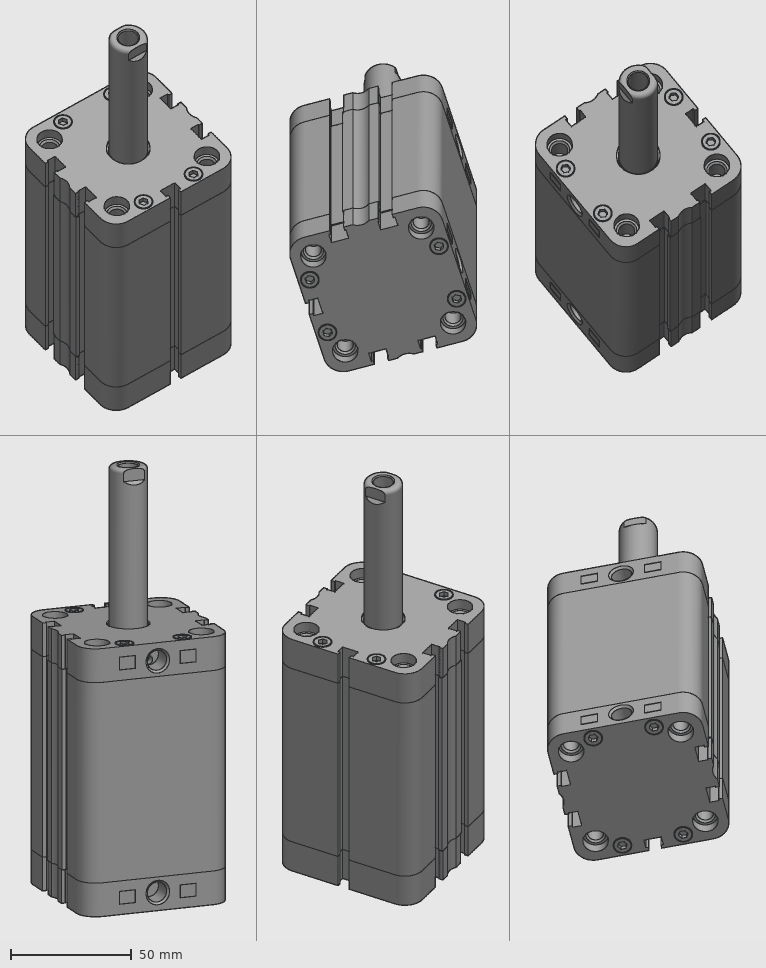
import cadquery as cq
import math

BODY_SIDE = 65.5
CORNER_RADIUS = 8.25
COVER_HEIGHT = 14.5
BARREL_LENGTH = 86.0
BODY_HEIGHT = 2 * COVER_HEIGHT + BARREL_LENGTH
HALF_SIDE = BODY_SIDE / 2

SLOT_OFFSET = 10.6
SLOT_OUTER_EDGE = 13.5
COVER_SLOT_INNER_EDGE = 7.4
BARREL_SLOT_INNER_EDGE = 7.9
SIDE_SLOT_OPENING = 5.3
SLOT_WIDTH = 7.4
SLOT_LIP = 1.7
COVER_SLOT_DEPTH = 5.6
BARREL_SLOT_DEPTH = 5.1

GROOVE_RADIUS = 6.0
GROOVE_DEPTH = 1.1

ROD_DIAMETER = 16.0
ROD_TOP = 183.0
ROD_TIP_RADIUS = 1.8
FLAT_WIDTH = 13.0
FLAT_LENGTH = 5.2
FLAT_RUNOUT = (ROD_DIAMETER - FLAT_WIDTH) / 2
ROD_THREAD_DIAMETER = 8.38
ROD_THREAD_DEPTH = 20.0
ROD_THREAD_MOUTH = 9.4
DRILL_POINT_ANGLE = 118.0

SEAL_STEPS = ((18.0, 1.0), (16.54, 2.0))

MOUNT_OFFSET = 23.25
MOUNT_BORE_DIAMETER = 10.5
MOUNT_BORE_DEPTH = 4.7
MOUNT_MOUTH_DIAMETER = 8.38
MOUNT_THREAD_DIAMETER = 6.65

SCREW_X = 27.85
SCREW_Y = 12.9
SCREW_RING_DIAMETER = 7.7
SCREW_HEAD_DIAMETER = 7.5
SCREW_HEAD_CHAMFER = 0.25
SOCKET_ACROSS_FLATS = 3.5
SOCKET_ACROSS_CORNERS = SOCKET_ACROSS_FLATS / math.cos(math.radians(30))
SOCKET_DEPTH = 2.0

PORT_DIAMETER = 8.57
PORT_MOUTH_DIAMETER = 10.5
PORT_DEPTH = 10.0
PORT_END_DISTANCE = 7.8
AIR_HOLE_DIAMETER = 3.5
AIR_HOLE_DROP = 2.2
AIR_HOLE_DEPTH = 4.0

LABEL_OFFSET = 13.5
LABEL_WIDTH = 7.0
LABEL_HEIGHT = 5.5
LABEL_DEPTH = 0.2


def t_slot(mouth_start, mouth_end, centre, depth, height):
    """T-slot cutter through the +Y face, its mouth running from mouth_start to mouth_end in X."""
    mouth = (
        cq.Workplane("XY")
        .center((mouth_start + mouth_end) / 2, 0)
        .rect(mouth_end - mouth_start, 2 * SLOT_LIP)
        .extrude(height)
    )
    inner_depth = depth - SLOT_LIP
    inner = (
        cq.Workplane("XY")
        .center(centre, -SLOT_LIP - inner_depth / 2)
        .rect(SLOT_WIDTH, inner_depth)
        .extrude(height)
    )
    return mouth.union(inner).translate((0, HALF_SIDE, 0))


def profile(height, inner_edge, depth):
    """Rounded square block with its slots and grooves, standing on Z = 0."""
    block = cq.Workplane("XY").rect(BODY_SIDE, BODY_SIDE).extrude(height)
    block = block.edges("|Z").fillet(CORNER_RADIUS)
    slot = t_slot(inner_edge, SLOT_OUTER_EDGE, SLOT_OFFSET, depth, height)
    groove = (
        cq.Workplane("XY")
        .center(0, HALF_SIDE - GROOVE_DEPTH + GROOVE_RADIUS)
        .circle(GROOVE_RADIUS)
        .extrude(height)
    )
    face_cuts = groove.union(slot).union(slot.mirror("YZ"))
    block = block.cut(face_cuts).cut(face_cuts.mirror("XZ"))
    half_opening = SIDE_SLOT_OPENING / 2
    side_slot = t_slot(-half_opening, half_opening, 0, COVER_SLOT_DEPTH, height)
    return block.cut(side_slot.rotate((0, 0, 0), (0, 0, 1), -90))


def cone(large, small, height):
    """Cone frustum along +Z, starting with its large end at Z = 0."""
    return cq.Workplane(cq.Solid.makeCone(large / 2, small / 2, height))


def side_port(z):
    """Threaded port with a 45 degree mouth, entering the -X face at height z."""
    bore = cq.Workplane("XY").circle(PORT_DIAMETER / 2).extrude(PORT_DEPTH)
    mouth_depth = (PORT_MOUTH_DIAMETER - PORT_DIAMETER) / 2
    port = bore.union(cone(PORT_MOUTH_DIAMETER, PORT_DIAMETER, mouth_depth))
    return port.rotate((0, 0, 0), (0, 1, 0), 90).translate((-HALF_SIDE, 0, z))


def label_panels(z):
    """Pair of shallow rectangles cut into the -X face, centred at height z."""
    return (
        cq.Workplane("XY")
        .pushPoints([(-HALF_SIDE, -LABEL_OFFSET), (-HALF_SIDE, LABEL_OFFSET)])
        .box(2 * LABEL_DEPTH, LABEL_WIDTH, LABEL_HEIGHT)
        .translate((0, 0, z))
    )


def four_points(x, y):
    return [(-x, -y), (x, -y), (x, y), (-x, y)]


def mounting_hole():
    """Counterbored thread hole through a cover, hanging below Z = 0."""
    counterbore = cq.Workplane("XY").circle(MOUNT_BORE_DIAMETER / 2).extrude(-MOUNT_BORE_DEPTH)
    thread = cq.Workplane("XY").circle(MOUNT_THREAD_DIAMETER / 2).extrude(-COVER_HEIGHT)
    mouth_depth = (MOUNT_MOUTH_DIAMETER - MOUNT_THREAD_DIAMETER) / 2
    mouth = cone(MOUNT_MOUTH_DIAMETER, MOUNT_THREAD_DIAMETER, mouth_depth).mirror("XY")
    return counterbore.union(thread).union(mouth.translate((0, 0, -MOUNT_BORE_DEPTH)))


def screw_head_cut():
    """Groove around a chamfered screw head and its hex socket, hanging below Z = 0."""
    ring = cq.Workplane("XY").circle(SCREW_RING_DIAMETER / 2).extrude(-SCREW_HEAD_CHAMFER)
    head_top_diameter = SCREW_HEAD_DIAMETER - 2 * SCREW_HEAD_CHAMFER
    head = cone(SCREW_HEAD_DIAMETER, head_top_diameter, SCREW_HEAD_CHAMFER)
    socket = cq.Workplane("XY").polygon(6, SOCKET_ACROSS_CORNERS).extrude(-SOCKET_DEPTH)
    socket = socket.rotate((0, 0, 0), (0, 0, 1), 30)
    return ring.cut(head.translate((0, 0, -SCREW_HEAD_CHAMFER))).union(socket)


def make_cover():
    """Cover with its outer face at Z = COVER_HEIGHT and everything both covers share."""
    cover = profile(COVER_HEIGHT, COVER_SLOT_INNER_EDGE, COVER_SLOT_DEPTH)
    for x, y in four_points(MOUNT_OFFSET, MOUNT_OFFSET):
        cover = cover.cut(mounting_hole().translate((x, y, COVER_HEIGHT)))
    for x, y in four_points(SCREW_X, SCREW_Y):
        cover = cover.cut(screw_head_cut().translate((x, y, COVER_HEIGHT)))
    cover = cover.cut(side_port(COVER_HEIGHT - PORT_END_DISTANCE))
    return cover.cut(label_panels(COVER_HEIGHT / 2))


def make_head_cover():
    """Top cover with the rod bore and an air hole in the floor of its port."""
    air_hole = (
        cq.Workplane("YZ")
        .center(0, COVER_HEIGHT - PORT_END_DISTANCE - AIR_HOLE_DROP)
        .circle(AIR_HOLE_DIAMETER / 2)
        .extrude(AIR_HOLE_DEPTH)
        .translate((PORT_DEPTH - HALF_SIDE, 0, 0))
    )
    cover = make_cover().cut(air_hole)
    for diameter, depth in ((ROD_DIAMETER, COVER_HEIGHT), *SEAL_STEPS):
        bore = cq.Workplane("XY").workplane(offset=COVER_HEIGHT).circle(diameter / 2).extrude(-depth)
        cover = cover.cut(bore)
    return cover.translate((0, 0, BODY_HEIGHT - COVER_HEIGHT))


def make_end_cover():
    """Mirrored cover, its outer face at Z = 0."""
    return make_cover().mirror("XY").translate((0, 0, COVER_HEIGHT))


def make_barrel():
    return profile(BARREL_LENGTH, BARREL_SLOT_INNER_EDGE, BARREL_SLOT_DEPTH).translate((0, 0, COVER_HEIGHT))


def make_rod():
    """Rod through the head cover, ending on the barrel, with wrench flats and a threaded hole."""
    base = BODY_HEIGHT - COVER_HEIGHT
    rod = cq.Workplane("XY").workplane(offset=base).circle(ROD_DIAMETER / 2).extrude(ROD_TOP - base)
    rod = rod.faces(">Z").edges().fillet(ROD_TIP_RADIUS)
    flat_end = ROD_TOP - FLAT_LENGTH
    for side in (-1, 1):
        flat = (
            cq.Workplane("XZ")
            .moveTo(side * FLAT_WIDTH / 2, ROD_TOP)
            .lineTo(side * FLAT_WIDTH / 2, flat_end)
            .lineTo(side * ROD_DIAMETER / 2, flat_end - FLAT_RUNOUT)
            .lineTo(side * ROD_DIAMETER / 2, ROD_TOP)
            .close()
            .extrude(ROD_DIAMETER / 2, both=True)
        )
        rod = rod.cut(flat)
    thread_radius = ROD_THREAD_DIAMETER / 2
    point_height = thread_radius / math.tan(math.radians(DRILL_POINT_ANGLE / 2))
    mouth_depth = ROD_THREAD_MOUTH / 2 - thread_radius
    threaded_hole = (
        cq.Workplane("XZ")
        .moveTo(0, ROD_TOP)
        .lineTo(ROD_THREAD_MOUTH / 2, ROD_TOP)
        .lineTo(thread_radius, ROD_TOP - mouth_depth)
        .lineTo(thread_radius, ROD_TOP - ROD_THREAD_DEPTH)
        .lineTo(0, ROD_TOP - ROD_THREAD_DEPTH - point_height)
        .close()
        .revolve(360, (0, 0, 0), (0, 1, 0))
    )
    return rod.cut(threaded_hole)


head_cover = make_head_cover()
barrel = make_barrel()
end_cover = make_end_cover()
rod = make_rod()
result = cq.Compound.makeCompound([head_cover.val(), barrel.val(), end_cover.val(), rod.val()])